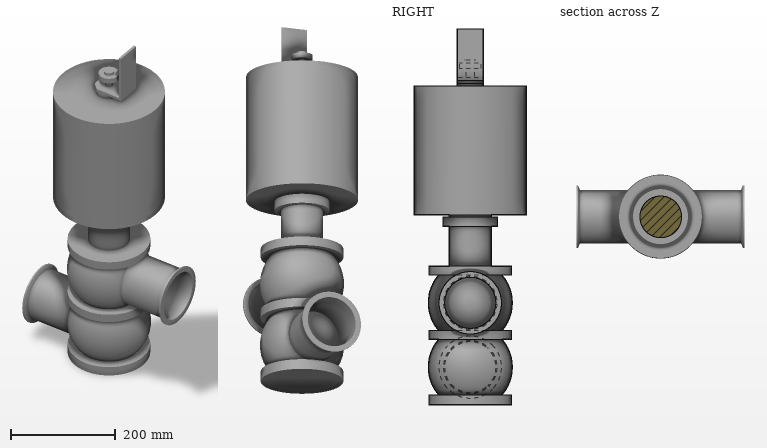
import cadquery as cq
import math

flange_diameter = 158.0
bottom_flange_height = 19.5
flange_height = 17.0
chamber_height = 105.5
chamber_pitch = chamber_height + flange_height
bulge_diameter = 161.0
neck_diameter = math.sqrt(bulge_diameter**2 - chamber_height**2)
lower_chamber_z = bottom_flange_height + chamber_height / 2
upper_chamber_z = lower_chamber_z + chamber_pitch
chamber_stack_top = upper_chamber_z + chamber_height / 2 + flange_height

port_reach = 160.0
port_root = 43.0
port_diameter = 102.0
port_bore_diameter = 97.5
ferrule_diameter = 119.0
ferrule_lip = 3.0
ferrule_taper = 3.5

column_diameter = 80.0
collar_diameter = 105.0
collar_bottom = 341.0
collar_height = 18.0
actuator_diameter = 214.0
actuator_bottom = 362.0
actuator_top = 608.5
boss_diameter = 50.0
boss_height = 5.0

total_height = 717.5
indicator_bottom = actuator_top + boss_height
washer_height = 6.0
bracket_bottom = indicator_bottom + washer_height
bracket_thickness = 5.0
bracket_width = boss_diameter
bracket_left = -bracket_width / 2
bracket_right = 45.0
bracket_corner = 13.5
stem_diameter = 16.0
knob_diameter = 40.0
knob_bottom = 641.5
knob_height = 11.0
cap_diameter = 19.5
cap_height = 6.0


def disc(diameter, bottom, height):
    """Upright cylinder centred on the Z axis."""
    return cq.Workplane("XY").workplane(offset=bottom).circle(diameter / 2).extrude(height)


def chamber(center_z):
    """Solid ball, cut flat to a neck at the flanges above and below."""
    half_height = chamber_height / 2
    return (
        cq.Workplane("YZ")
        .moveTo(0, center_z - half_height)
        .lineTo(neck_diameter / 2, center_z - half_height)
        .threePointArc((bulge_diameter / 2, center_z), (neck_diameter / 2, center_z + half_height))
        .lineTo(0, center_z + half_height)
        .close()
        .revolve(360, (0, 0, 0), (0, 1, 0))
    )


def port(center_z, turn):
    """Ferruled tube along +X, turned about Z, its bore ending on the chamber."""
    bore_radius = port_bore_diameter / 2
    tube_radius = port_diameter / 2
    lip_radius = ferrule_diameter / 2
    lip_start = port_reach - ferrule_lip
    profile = [
        (port_root, bore_radius),
        (port_reach, bore_radius),
        (port_reach, lip_radius),
        (lip_start, lip_radius),
        (lip_start - ferrule_taper, tube_radius),
        (port_root, tube_radius),
    ]
    tube = cq.Workplane("XY").polyline(profile).close().revolve(360, (0, 0, 0), (1, 0, 0))
    return tube.rotate((0, 0, 0), (0, 0, 1), turn).translate((0, 0, center_z))


def make_valve():
    """Chambers, ports, column and actuator as one solid."""
    body = disc(flange_diameter, 0, bottom_flange_height)
    for center_z, port_turn in ((lower_chamber_z, 180), (upper_chamber_z, 0)):
        flange_bottom = center_z + chamber_height / 2
        body = body.union(chamber(center_z))
        body = body.union(disc(flange_diameter, flange_bottom, flange_height))
        body = body.union(port(center_z, port_turn))
    body = body.union(disc(column_diameter, chamber_stack_top, actuator_bottom - chamber_stack_top))
    body = body.union(disc(collar_diameter, collar_bottom, collar_height))
    body = body.union(disc(actuator_diameter, actuator_bottom, actuator_top - actuator_bottom))
    return body.union(disc(boss_diameter, actuator_top, boss_height))


def bracket():
    """L-shaped strip with two clipped corners on its foot."""
    foot_top = bracket_bottom + bracket_thickness
    outline = [
        (bracket_left, bracket_bottom),
        (bracket_right, bracket_bottom),
        (bracket_right, total_height),
        (bracket_right - bracket_thickness, total_height),
        (bracket_right - bracket_thickness, foot_top),
        (bracket_left, foot_top),
    ]
    strip = cq.Workplane("XZ").polyline(outline).close().extrude(bracket_width / 2, both=True)
    return strip.edges("|Z and <X").chamfer(bracket_corner)


def make_indicator():
    """Washer, bracket, stem, knob and cap as one solid resting on the boss."""
    stem_bottom = bracket_bottom + bracket_thickness
    body = disc(boss_diameter, indicator_bottom, washer_height)
    body = body.union(bracket())
    body = body.union(disc(stem_diameter, stem_bottom, knob_bottom - stem_bottom))
    body = body.union(disc(knob_diameter, knob_bottom, knob_height))
    return body.union(disc(cap_diameter, knob_bottom + knob_height, cap_height))


valve = make_valve()
indicator = make_indicator()

result = cq.Compound.makeCompound([valve.val(), indicator.val()])